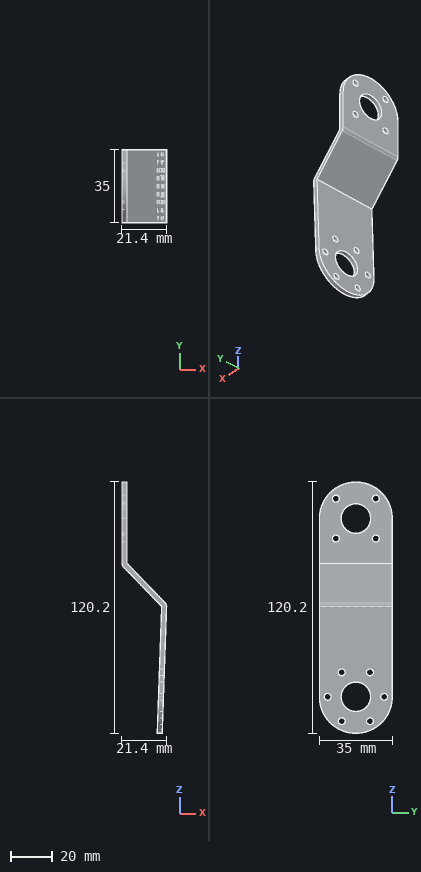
import cadquery as cq
import math

thickness = 2.5
width = 35.0
end_radius = width / 2

slope_angle = 44.0
tilt_angle = 2.0
offset_x = 16.41

upper_reach = 21.45
lower_reach = 43.15

bore_diameter = 14.0
screw_diameter = 3.2
bolt_circle_diameter = 27.0
upper_screw_count = 4
lower_screw_count = 6

slope = math.radians(slope_angle)
tilt = math.radians(tilt_angle)
web_length = (offset_x + thickness * math.cos(slope)) / math.sin(slope)
offset_z = web_length * math.cos(slope) + thickness * math.sin(slope)

upper_corner = (0.0, 0.0)
lower_corner = (offset_x, -offset_z)


def direction(angle):
    """Unit vector (x, z) at an angle in radians, turning from +X towards +Z."""
    return (math.cos(angle), math.sin(angle))


def outer_point(corner, angle):
    """Point one sheet thickness from an inner corner, at an angle in the XZ plane."""
    x, z = direction(angle)
    return (corner[0] + thickness * x, corner[1] + thickness * z)


upper_along = math.pi / 2
upper_normal = math.pi
web_underside_normal = math.pi + slope
web_topside_normal = slope
lower_along = -math.pi / 2 - tilt
lower_normal = -tilt


def web_with_bends():
    """Sloped web plus the rounded wedge at each bend, as one profile across the width."""
    upper_bend_middle = (upper_normal + web_underside_normal) / 2
    lower_bend_middle = (lower_normal + web_topside_normal) / 2
    return (
        cq.Workplane("XZ")
        .moveTo(*upper_corner)
        .lineTo(*outer_point(upper_corner, upper_normal))
        .threePointArc(
            outer_point(upper_corner, upper_bend_middle),
            outer_point(upper_corner, web_underside_normal),
        )
        .lineTo(*lower_corner)
        .lineTo(*outer_point(lower_corner, lower_normal))
        .threePointArc(
            outer_point(lower_corner, lower_bend_middle),
            outer_point(lower_corner, web_topside_normal),
        )
        .close()
        .extrude(width / 2, both=True)
    )


def tab(corner, along, normal, reach, screw_count):
    """Round-ended tab running from its bend, with a bore and a circle of screw holes."""
    along_x, along_z = direction(along)
    normal_x, normal_z = direction(normal)
    bend_plane = cq.Plane(
        origin=(corner[0], 0, corner[1]),
        xDir=(along_x, 0, along_z),
        normal=(normal_x, 0, normal_z),
    )
    blank = (
        cq.Workplane(bend_plane)
        .moveTo(0, -width / 2)
        .lineTo(reach, -width / 2)
        .threePointArc((reach + end_radius, 0), (reach, width / 2))
        .lineTo(0, width / 2)
        .close()
        .extrude(thickness)
    )
    end_center = cq.Workplane(bend_plane).center(reach, 0)
    bore = end_center.circle(bore_diameter / 2).extrude(thickness)

    half_pitch_angle = 180 / screw_count
    screw_holes = (
        end_center.polarArray(bolt_circle_diameter / 2, half_pitch_angle, 360, screw_count)
        .circle(screw_diameter / 2)
        .extrude(thickness)
    )
    return blank.cut(bore).cut(screw_holes)


upper_tab = tab(upper_corner, upper_along, upper_normal, upper_reach, upper_screw_count)
lower_tab = tab(lower_corner, lower_along, lower_normal, lower_reach, lower_screw_count)

result = web_with_bends().union(upper_tab).union(lower_tab)